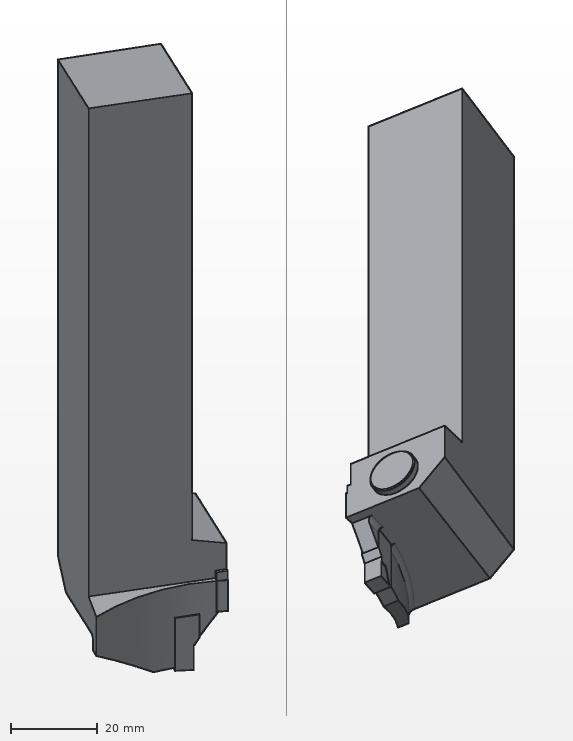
import cadquery as cq
import math

TOTAL_LENGTH = 151.4
SHANK_WIDTH = 25.0
SHANK_DEPTH = 25.0
HEAD_DEPTH = 33.3
HEAD_BOTTOM = 14.4
SIDE_LEAN = 0.5
CORNER_CHAMFER = 6.8

SHOULDER_DROP = 2.1
REAR_SHOULDER_TOP = 33.8
FLANGE_TOP = 22.9
HEAD_WIDTH = 31.2
LUG_WIDTH = 0.9
LUG_DEPTH = 2.7
LUG_TOP = 24.8

BOW_CENTER_Y = 25.0
OUTER_FACE_X = 25.6
INNER_FACE_X = 21.5
INNER_FACE_FRONT_X = 28.3
BLADE_FRONT_Z = 10.5
BLADE_TIP_Y = 15.3
BLADE_TIP_Z = 1.2
BLADE_REAR_Y = 31.0
ROOT_FILLET = 1.2

INSERT_LEFT_X = 21.3
INSERT_WIDTH = 4.5
INSERT_FRONT_Y = 20.6
INSERT_REAR_Y = 26.5
RAKE_Y = 25.1
RAKE_TOP_Z = 6.4
SEAT_REAR_Z = 8.3
TIP_CLEARANCE = 0.5
RELIEF_DEPTH = 0.2
RELIEF_TOP_Z = 4.8
RELIEF_CORNER_Y = 23.0
RELIEF_FRONT_Y = 21.3

BOSS_DIAMETER = 11.8
BOSS_HEIGHT = 1.8
BOSS_CHAMFER = 0.3
BOSS_X = 13.0
BOSS_Z = 21.8


def bow_radius(sagitta):
    """Radius of an arc that rises by the sagitta between its vertex and Y = 0."""
    return (BOW_CENTER_Y**2 + sagitta**2) / (2 * sagitta)


def bow_cylinder(vertex_x, front_x):
    """Upright cylinder whose -X side passes through the vertex and the front point."""
    radius = bow_radius(front_x - vertex_x)
    cylinder = cq.Workplane("XY").circle(radius).extrude(TOTAL_LENGTH)
    return cylinder.translate((vertex_x + radius, BOW_CENTER_Y, 0))


def extrude_side(points, start_x, width):
    """Extrude a (Y, Z) outline along +X from start_x."""
    return cq.Workplane("YZ").workplane(offset=start_x).polyline(points).close().extrude(width)


def make_shank_and_head():
    side = [
        (0, HEAD_BOTTOM),
        (HEAD_DEPTH, HEAD_BOTTOM),
        (HEAD_DEPTH, REAR_SHOULDER_TOP - SHOULDER_DROP),
        (SHANK_DEPTH, REAR_SHOULDER_TOP),
        (SHANK_DEPTH, TOTAL_LENGTH),
        (0, TOTAL_LENGTH),
    ]
    body = extrude_side(side, 0, SHANK_WIDTH)
    lean = (
        cq.Workplane("XY")
        .polyline([(0, 0), (SIDE_LEAN, 0), (0, HEAD_DEPTH)])
        .close()
        .extrude(TOTAL_LENGTH)
    )
    corner = (
        cq.Workplane("XZ")
        .polyline([
            (0, HEAD_BOTTOM),
            (CORNER_CHAMFER, HEAD_BOTTOM),
            (0, HEAD_BOTTOM + CORNER_CHAMFER),
        ])
        .close()
        .extrude(-HEAD_DEPTH)
    )
    return body.cut(lean).cut(corner)


def make_flange():
    """Part of the head beyond the +X side of the shank."""
    flange = (
        cq.Workplane("XZ")
        .polyline([
            (INSERT_LEFT_X, HEAD_BOTTOM),
            (HEAD_WIDTH, HEAD_BOTTOM),
            (HEAD_WIDTH, FLANGE_TOP - SHOULDER_DROP),
            (SHANK_WIDTH, FLANGE_TOP),
            (INSERT_LEFT_X, FLANGE_TOP),
        ])
        .close()
        .extrude(-HEAD_DEPTH)
    )
    lug = cq.Workplane("XY").box(LUG_WIDTH, LUG_DEPTH, LUG_TOP - HEAD_BOTTOM, centered=False)
    lug = lug.translate((SHANK_WIDTH, HEAD_DEPTH - LUG_DEPTH, HEAD_BOTTOM))
    return flange.cut(bow_cylinder(OUTER_FACE_X, HEAD_WIDTH)).union(lug)


def make_blade():
    side = [
        (0, HEAD_BOTTOM),
        (0, BLADE_FRONT_Z),
        (BLADE_TIP_Y, BLADE_TIP_Z),
        (INSERT_FRONT_Y, BLADE_TIP_Z),
        (RAKE_Y, RAKE_TOP_Z),
        (INSERT_REAR_Y, SEAT_REAR_Z),
        (BLADE_REAR_Y, HEAD_BOTTOM),
    ]
    blade = extrude_side(side, INNER_FACE_X, HEAD_WIDTH - INNER_FACE_X)
    blade = blade.intersect(bow_cylinder(INNER_FACE_X, INNER_FACE_FRONT_X))
    return blade.cut(bow_cylinder(OUTER_FACE_X, HEAD_WIDTH))


def make_root_fillet():
    """Concave fillet between the head bottom and the inner face of the blade."""
    bow = INNER_FACE_FRONT_X - INNER_FACE_X
    radius = bow_radius(bow)
    center_x = INNER_FACE_X + radius
    middle = ROOT_FILLET * (1 - math.sqrt(0.5))
    ring = (
        cq.Workplane("XZ", origin=(center_x, BOW_CENTER_Y, HEAD_BOTTOM))
        .moveTo(-radius, 0)
        .lineTo(-radius - ROOT_FILLET, 0)
        .threePointArc((-radius - middle, -middle), (-radius, -ROOT_FILLET))
        .close()
        .revolve(360, (0, 0, 0), (0, 1, 0))
    )
    limits = extrude_side(
        [
            (0, HEAD_BOTTOM),
            (0, BLADE_FRONT_Z),
            (INSERT_REAR_Y, SEAT_REAR_Z),
            (BLADE_REAR_Y, HEAD_BOTTOM),
        ],
        INNER_FACE_X - ROOT_FILLET,
        HEAD_WIDTH - INNER_FACE_X,
    )
    return ring.intersect(limits)


def make_boss():
    boss = cq.Workplane("XZ", origin=(BOSS_X, HEAD_DEPTH, BOSS_Z))
    boss = boss.circle(BOSS_DIAMETER / 2).extrude(-BOSS_HEIGHT)
    return boss.faces(">Y").chamfer(BOSS_CHAMFER)


def make_insert_blank():
    side = [
        (INSERT_FRONT_Y, HEAD_BOTTOM),
        (INSERT_FRONT_Y, TIP_CLEARANCE),
        (RAKE_Y, 0),
        (RAKE_Y, RAKE_TOP_Z),
        (INSERT_REAR_Y, SEAT_REAR_Z),
        (INSERT_REAR_Y, HEAD_BOTTOM),
    ]
    return extrude_side(side, INSERT_LEFT_X, INSERT_WIDTH)


def make_insert():
    relief = extrude_side(
        [
            (RELIEF_FRONT_Y, 0),
            (RAKE_Y, 0),
            (RAKE_Y, RELIEF_TOP_Z),
            (RELIEF_CORNER_Y, RELIEF_TOP_Z),
        ],
        INSERT_LEFT_X,
        RELIEF_DEPTH,
    )
    return make_insert_blank().cut(relief)


def make_insert_slot():
    """Full-width slot that the insert fills, open on both sides of the blade."""
    slot_depth = INSERT_REAR_Y - INSERT_FRONT_Y
    slot = cq.Workplane("XY").box(HEAD_WIDTH, slot_depth, HEAD_BOTTOM, centered=False)
    return slot.translate((0, INSERT_FRONT_Y, 0))


def make_holder():
    lower = make_blade().union(make_root_fillet()).cut(make_insert_slot())
    return make_shank_and_head().union(make_flange()).union(lower).union(make_boss())


holder = make_holder().solids()
insert = make_insert().solids()
result = cq.Compound.makeCompound([holder.val(), insert.val()])